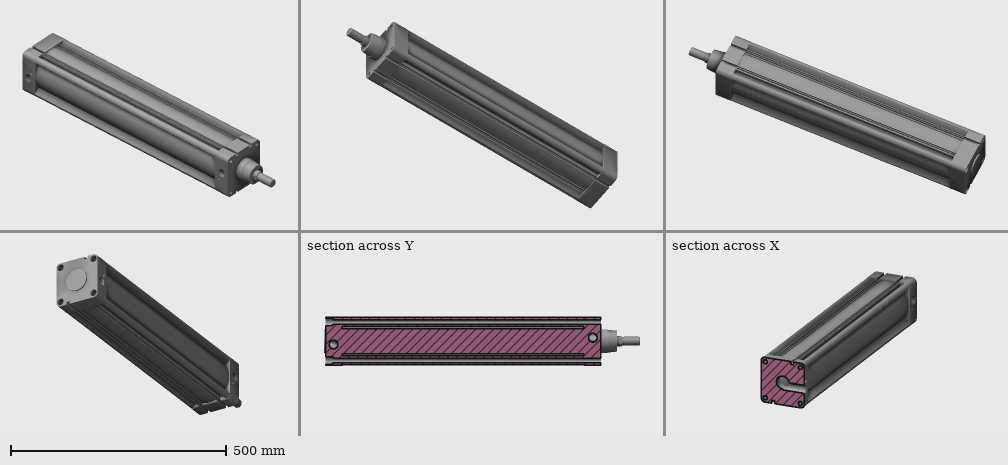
import cadquery as cq

cap_rear_face = 4.0
tube_start = 42.5
gasket_start = 602.5
front_cap_start = 605.0
front_cap_end = 642.0
collar_step = 658.0
nose_end = 679.0
collar_end = 680.0
flats_start = 683.0
rod_end = 691.0
thread_start = 696.0
overall_length = 733.0

side = 112.0
half_side = side / 2
corner_radius = 11.0
tube_inset = 0.4
gasket_inset = 1.0

barrel_radius = 53.5
post_edge = half_side - corner_radius
post_foot = 32.0
post_depth = half_side - (post_edge - post_foot)

slot_offset = 24.0
cap_slot_width = 7.0
cap_slot_floor = 49.0
tube_slot_steps = (
    (9.0, 49.0),
    (5.0, 45.5),
)

ridge_outer = 30.0
ridge_inner = 18.0
ridge_top = 53.5

bolt_spacing = 89.5
bolt_hole_diameter = 9.0
bolt_bore_diameter = 17.0
bolt_bore_depth = 15.0
bolt_step_diameter = 12.5
bolt_step_depth = 18.0

port_diameter = 19.0
port_rim_diameter = 22.0
port_rim_depth = 2.0
screw_diameter = 5.0
screw_rim_diameter = 8.0
screw_rim_depth = 2.0
screw_depth = 7.0
rear_port = (22.0, -8.0)
rear_screw = (30.0, 10.0)
front_port = (624.0, 8.0)
front_screw = (616.0, -10.0)

chamber_start = 11.0
chamber_radius = 15.5

boss_diameter = 55.0
boss_radius = boss_diameter / 2
nose_start_radius = 26.5
nose_mid_radius = 26.0
nose_end_radius = 24.0
rod_radius = 12.5
rod_flat_width = 22.0
relief_radius = 9.5
thread_radius = 10.0
thread_chamfer_length = 2.0
thread_chamfer_depth = 1.1


def square_block(x_start, x_end, inset=0.0):
    """Square prism along X with rounded long edges."""
    width = side - 2 * inset
    block = cq.Workplane("YZ", origin=(x_start, 0, 0)).rect(width, width).extrude(x_end - x_start)
    return block.edges("|X").fillet(corner_radius - inset)


def axial_cylinder(x_start, x_end, radius):
    return cq.Workplane("YZ", origin=(x_start, 0, 0)).circle(radius).extrude(x_end - x_start)


def slot_cutter(x_start, x_end, y_sign, z_sign, width, floor):
    """Box that opens a lengthwise slot down to the given height."""
    depth = half_side - floor
    length = x_end - x_start
    cutter = cq.Workplane("XY").box(length, width, 2 * depth)
    return cutter.translate(((x_start + x_end) / 2, y_sign * slot_offset, z_sign * half_side))


def side_hole(center, diameter, depth):
    """Blind round hole entering from the -Y side at (x, z)."""
    plane = cq.Workplane("XZ", origin=(center[0], -half_side, center[1]))
    return plane.circle(diameter / 2).extrude(-depth)


def make_tube():
    """Barrel with corner posts, a hollow between posts on each side, and ridges for the slots."""
    length = gasket_start - tube_start
    tube = square_block(tube_start, gasket_start, tube_inset)
    hollow = (
        cq.Workplane("YZ", origin=(tube_start, 0, 0))
        .polyline(
            [
                (half_side, post_edge),
                (post_depth, post_foot),
                (post_depth, -post_foot),
                (half_side, -post_edge),
            ]
        )
        .close()
        .extrude(length)
    )
    barrel = axial_cylinder(tube_start, gasket_start, barrel_radius)
    for angle in (0, 90, 180, 270):
        tube = tube.cut(hollow.rotate((0, 0, 0), (1, 0, 0), angle))
    tube = tube.union(barrel)
    ridge_width = ridge_outer - ridge_inner
    ridge_y = (ridge_outer + ridge_inner) / 2
    ridges = cq.Workplane("XY").box(length, ridge_width, 2 * ridge_top)
    ridges = ridges.translate(((tube_start + gasket_start) / 2, ridge_y, 0))
    return tube.union(ridges).union(ridges.mirror("XZ"))


def make_collar_and_rod():
    """Revolved bearing collar, rod, thread relief and threaded end."""
    nose_middle = (collar_step + nose_end) / 2
    turned = (
        cq.Workplane("XY")
        .moveTo(front_cap_end, 0)
        .lineTo(front_cap_end, boss_radius)
        .lineTo(collar_step, boss_radius)
        .lineTo(collar_step, nose_start_radius)
        .threePointArc((nose_middle, nose_mid_radius), (nose_end, nose_end_radius))
        .lineTo(collar_end, nose_end_radius)
        .lineTo(collar_end, rod_radius)
        .lineTo(rod_end, rod_radius)
        .lineTo(rod_end, relief_radius)
        .lineTo(thread_start, relief_radius)
        .lineTo(thread_start, thread_radius)
        .lineTo(overall_length - thread_chamfer_length, thread_radius)
        .lineTo(overall_length, thread_radius - thread_chamfer_depth)
        .lineTo(overall_length, 0)
        .close()
        .revolve(360, (0, 0, 0), (1, 0, 0))
    )
    flats_length = rod_end - flats_start
    flats_middle = (flats_start + rod_end) / 2
    for sign in (-1, 1):
        flat = cq.Workplane("XY").box(flats_length, rod_radius, 2 * rod_radius)
        turned = turned.cut(flat.translate((flats_middle, sign * (rod_flat_width + rod_radius) / 2, 0)))
    return turned


result = (
    square_block(cap_rear_face, tube_start)
    .union(axial_cylinder(0, cap_rear_face, boss_radius))
    .union(make_tube())
    .union(square_block(gasket_start, front_cap_start, gasket_inset))
    .union(square_block(front_cap_start, front_cap_end))
    .union(make_collar_and_rod())
)

for y_sign in (-1, 1):
    for z_sign in (-1, 1):
        for width, floor in tube_slot_steps:
            result = result.cut(slot_cutter(tube_start, gasket_start, y_sign, z_sign, width, floor))
        result = result.cut(
            slot_cutter(gasket_start, front_cap_end, y_sign, z_sign, cap_slot_width, cap_slot_floor)
        )

for sign in (-1, 1):
    result = result.cut(
        slot_cutter(cap_rear_face, tube_start, -sign, sign, cap_slot_width, cap_slot_floor)
    )

bolt_steps = (
    (bolt_hole_diameter, front_cap_end),
    (bolt_step_diameter, cap_rear_face + bolt_step_depth),
    (bolt_bore_diameter, cap_rear_face + bolt_bore_depth),
)
for y in (-bolt_spacing / 2, bolt_spacing / 2):
    for z in (-bolt_spacing / 2, bolt_spacing / 2):
        for diameter, x_end in bolt_steps:
            hole = axial_cylinder(cap_rear_face, x_end, diameter / 2)
            result = result.cut(hole.translate((0, y, z)))

result = result.cut(axial_cylinder(chamber_start, tube_start, chamber_radius))
for port in (rear_port, front_port):
    result = result.cut(side_hole(port, port_rim_diameter, port_rim_depth))
result = result.cut(side_hole(rear_port, port_diameter, half_side))

inner_rod = axial_cylinder(front_cap_start, front_cap_end, rod_radius)
result = result.cut(side_hole(front_port, port_diameter, half_side).cut(inner_rod))

for screw in (rear_screw, front_screw):
    result = result.cut(side_hole(screw, screw_rim_diameter, screw_rim_depth))
    result = result.cut(side_hole(screw, screw_diameter, screw_depth))